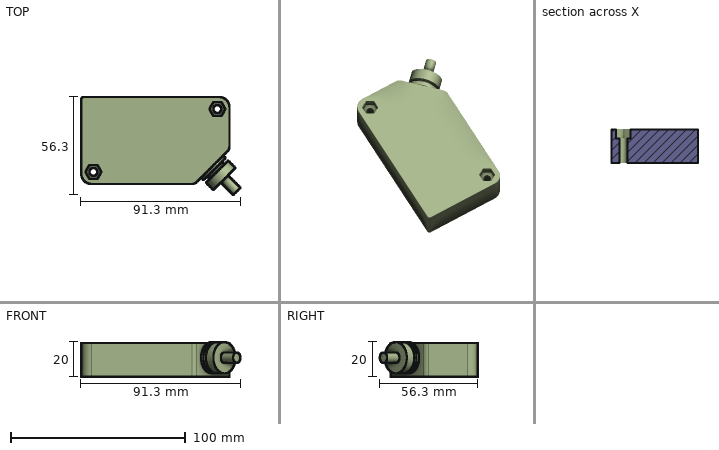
import cadquery as cq
import math

LENGTH = 85.0
WIDTH = 50.0
HEIGHT = 19.5
CUT_CORNER = 20.0
MOUNT_CORNER_RADIUS = 6.0
CUT_EDGE_RADIUS = 4.0
PLAIN_CORNER_RADIUS = 1.5
TOP_EDGE_RADIUS = 0.25

HOLE_INSET = 7.0
HOLE_DIAMETER = 4.4
HEX_SIDES = 6
NUT_ACROSS_FLATS = 8.0
NUT_ACROSS_CORNERS = NUT_ACROSS_FLATS / math.cos(math.pi / HEX_SIDES)
NUT_POCKET_DEPTH = 5.0
HOLE_CENTERS = [
    (HOLE_INSET, HOLE_INSET),
    (LENGTH - HOLE_INSET, WIDTH - HOLE_INSET),
]

FLANGE_DIAMETER = 18.0
COLLAR = (FLANGE_DIAMETER, 2.0)
NECK = (12.0, 2.0)
CAP = (FLANGE_DIAMETER, 6.0)
CABLE = (6.0, 10.0)
GLAND_Z = 11.0


def round_corners(body, corners, radius):
    """Round the vertical edges that stand at the given (x, y) corners."""
    for x, y in corners:
        edge_middle = cq.selectors.NearestToPointSelector((x, y, HEIGHT / 2))
        body = body.edges(edge_middle).fillet(radius)
    return body


def make_housing():
    lower_left = (0, 0)
    cut_start = (LENGTH - CUT_CORNER, 0)
    cut_end = (LENGTH, CUT_CORNER)
    upper_right = (LENGTH, WIDTH)
    upper_left = (0, WIDTH)
    block = (
        cq.Workplane("XY")
        .polyline([lower_left, cut_start, cut_end, upper_right, upper_left])
        .close()
        .extrude(HEIGHT)
    )
    block = round_corners(block, [lower_left, upper_right], MOUNT_CORNER_RADIUS)
    block = round_corners(block, [cut_start, cut_end], CUT_EDGE_RADIUS)
    block = round_corners(block, [upper_left], PLAIN_CORNER_RADIUS)
    return block.faces(">Z").edges().fillet(TOP_EDGE_RADIUS)


def cut_mounting_holes(body):
    holes = (
        cq.Workplane("XY")
        .pushPoints(HOLE_CENTERS)
        .circle(HOLE_DIAMETER / 2)
        .extrude(HEIGHT)
    )
    nut_pockets = (
        cq.Workplane("XY", origin=(0, 0, HEIGHT - NUT_POCKET_DEPTH))
        .pushPoints(HOLE_CENTERS)
        .polygon(HEX_SIDES, NUT_ACROSS_CORNERS)
        .extrude(NUT_POCKET_DEPTH)
    )
    return body.cut(holes).cut(nut_pockets)


def make_cable_gland():
    face_center = (LENGTH - CUT_CORNER / 2, CUT_CORNER / 2, GLAND_Z)
    face_plane = cq.Plane(origin=face_center, xDir=(1, 1, 0), normal=(1, -1, 0))
    gland = cq.Workplane(face_plane)
    offset = 0.0
    for diameter, length in (COLLAR, NECK, CAP, CABLE):
        section = (
            cq.Workplane(face_plane)
            .workplane(offset=offset)
            .circle(diameter / 2)
            .extrude(length)
        )
        gland = gland.add(section)
        offset += length
    return gland.combine()


housing = cut_mounting_holes(make_housing())
result = housing.union(make_cable_gland())